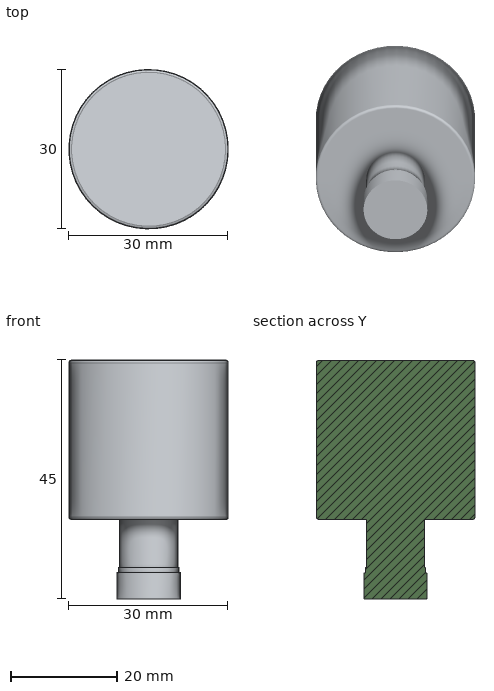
import cadquery as cq

foot_diameter = 12.0
foot_height = 5.0

collar_diameter = 11.4
collar_height = 1.0

neck_diameter = 11.0
neck_height = 9.0

head_diameter = 30.0
head_height = 30.0
head_rim_radius = 0.5

collar_base = foot_height
neck_base = collar_base + collar_height
head_base = neck_base + neck_height


def cylinder(diameter, height, base):
    """Upright cylinder standing on the level z = base."""
    return cq.Workplane("XY").workplane(offset=base).circle(diameter / 2).extrude(height)


def rounded_head():
    """Large head with both circular rims rounded."""
    return cylinder(head_diameter, head_height, head_base).edges("%CIRCLE").fillet(head_rim_radius)


def stepped_stem():
    """Foot, collar and neck that carry the head."""
    foot = cylinder(foot_diameter, foot_height, 0)
    collar = cylinder(collar_diameter, collar_height, collar_base)
    neck = cylinder(neck_diameter, neck_height, neck_base)
    return foot.union(collar).union(neck)


result = stepped_stem().union(rounded_head())